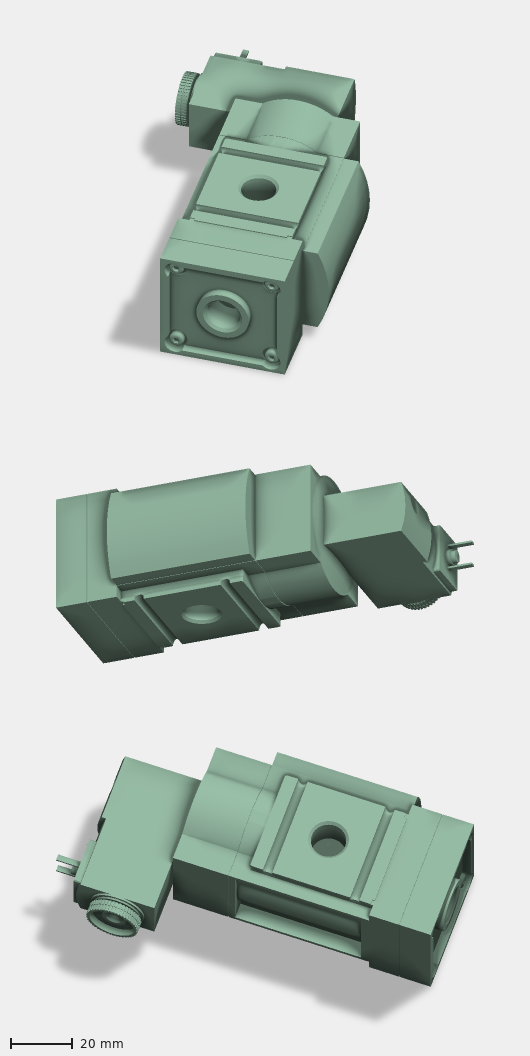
import cadquery as cq


body_half_width = 21.0
body_half_height = 19.7
flank_half_height = 15.7
body_crown_radius = 19.9
collar_crown_radius = 19.7

cap_seam_y = 10.7
block_end_y = 21.1
body_end_y = 69.3
collar_end_y = 88.5
coil_start_y = 89.3
seam_width = 0.3
seam_depth = 0.3
cut_clearance = 1.3

dome_radius = 19.2
dome_height = 1.6

cover_half_height = 15.6
cover_edge_x = 26.0
cover_crest_x = 29.8

window_start_y = 23.9
window_end_y = 67.2
window_half_height = 14.3
window_floor_x = -15.8
cartridge_radius = 19.2

pad_top_z = 20.1
pad_half_width = 17.2
pad_waist_half_width = 16.3
pad_foot_half_width = 16.7
pad_lip_z = 18.9
pad_waist_top_z = 17.7
pad_waist_bottom_z = 17.0
pad_end_y = 63.4
pad_rear_fillet = 0.8
pad_front_notch_length = 0.9
pad_front_notch_width = 1.6
pad_groove_radius = 1.6
pad_groove_axis_drop = 0.4
pad_grooves_y = (27.4, 57.3)

port_diameter = 11.5
port_mouth_diameter = 13.2
port_chamfer = (port_mouth_diameter - port_diameter) / 2
port_depth = 11.3
side_port_y = 42.5

recess_half_width = 18.4
recess_half_height = 17.6
recess_depth = 2.9
port_ring_diameter = 17.6
screw_x = 16.1
screw_z = 15.2
screw_pocket_diameter = 6.9
screw_pocket_depth = 3.8
screw_head_diameter = 5.0
screw_head_height = 2.3
screw_head_fillet = 1.0
screw_socket_diameter = 2.4
screw_socket_depth = 1.3
socket_sides = 6

coil_left_x = -37.0
coil_right_x = 11.2
coil_step_x = -12.0
coil_half_height = 8.9
coil_low_edge_y = 114.7
coil_low_crest_y = 116.2
coil_high_edge_y = 116.2
coil_high_crest_y = 117.7
indicator_diameter = 6.5
indicator_x = 1.9
indicator_z = 5.0
indicator_floor_y = 116.3

plate_left_x = -36.1
plate_right_x = -20.2
plate_half_height = 8.3
plate_end_y = 117.3
plate_corner = 0.4
plug_x = -28.2
blade_end_y = 125.8
blade_width = 2.0
blade_thickness = 0.67
blade_z = 4.0
stud_foot_diameter = 5.3
stud_foot_end_y = 118.7
stud_diameter = 4.2
stud_end_y = 120.4

knob_y = 101.9
knob_tip_x = -42.8
knob_back_x = -39.0
knob_diameter = 17.7
knob_neck_diameter = 10.7
flange_steps = ((18.4, 0.6), (16.3, 1.3))
knob_dish_diameter = 15.2
knob_dish_depth = 2.3
knob_boss_diameter = 8.0
knob_boss_height = 0.5
knob_hole_mouth_diameter = 5.3
knob_hole_diameter = 2.0
knob_hole_cone_depth = 2.0
knob_hole_depth = 3.3
knurl_count = 48
knurl_width = 0.5
knurl_depth = 0.4
knob_ring_groove_width = 0.4


def box(x, y, z):
    """Box between the (low, high) limits given on each axis."""
    return (
        cq.Workplane("XY")
        .box(x[1] - x[0], y[1] - y[0], z[1] - z[0], centered=False)
        .translate((x[0], y[0], z[0]))
    )


def cylinder(start, direction, diameter, length):
    """Round bar from a start point along a direction."""
    return cq.Workplane(
        cq.Solid.makeCylinder(diameter / 2, length, cq.Vector(*start), cq.Vector(*direction))
    )


def port(start, direction):
    """Port bore with a chamfered mouth."""
    bore = cylinder(start, direction, port_diameter, port_depth)
    mouth = cq.Solid.makeCone(
        port_mouth_diameter / 2, port_diameter / 2, port_chamfer, cq.Vector(*start), cq.Vector(*direction)
    )
    return bore.union(cq.Workplane(mouth))


def symmetric(half):
    return (-half, half)


full_width = symmetric(body_half_width)
full_height = symmetric(body_half_height)


def crowned_section(y_start, y_end, crown_radius, inset=0.0):
    """Flat flanks with a round crown above and below, all drawn in by the inset."""
    flanks = box(
        symmetric(body_half_width - inset), (y_start, y_end), symmetric(flank_half_height - inset)
    )
    crown = cylinder((0, y_start, 0), (0, 1, 0), 2 * (crown_radius - inset), y_end - y_start)
    return flanks.union(crown)


def cap_seam():
    """Shallow groove around the front block."""
    y = (cap_seam_y, cap_seam_y + seam_width)
    core = box(
        symmetric(body_half_width - seam_depth), y, symmetric(body_half_height - seam_depth)
    )
    return box(full_width, y, full_height).cut(core)


def dome():
    """Shallow spherical cap on the collar end."""
    sphere_radius = (dome_radius**2 + dome_height**2) / (2 * dome_height)
    return (
        cq.Workplane("XY")
        .moveTo(0, collar_end_y)
        .lineTo(dome_radius, collar_end_y)
        .radiusArc((0, collar_end_y + dome_height), -sphere_radius)
        .close()
        .revolve(360, (0, 0, 0), (0, 1, 0))
    )


def side_cover():
    """Bulged cover along the +X flank."""
    return (
        cq.Workplane("XZ", origin=(0, block_end_y, 0))
        .moveTo(0, -cover_half_height)
        .lineTo(cover_edge_x, -cover_half_height)
        .threePointArc((cover_crest_x, 0), (cover_edge_x, cover_half_height))
        .lineTo(0, cover_half_height)
        .close()
        .extrude(-(body_end_y - block_end_y))
    )


def window():
    """Opening in the -X flank, leaving the cartridge surface inside."""
    y = (window_start_y, window_end_y)
    opening = box((-body_half_width - cut_clearance, window_floor_x), y, symmetric(window_half_height))
    cartridge = cylinder(
        (0, window_start_y, 0), (0, 1, 0), 2 * cartridge_radius, window_end_y - window_start_y
    )
    return opening.cut(cartridge)


def top_pad():
    """Dovetail-sided pad with rounded rear and notched front corners."""
    right_side = [
        (pad_foot_half_width, flank_half_height),
        (pad_waist_half_width, pad_waist_bottom_z),
        (pad_waist_half_width, pad_waist_top_z),
        (pad_half_width, pad_lip_z),
        (pad_half_width, pad_top_z),
    ]
    left_side = [(-x, z) for x, z in reversed(right_side)]
    pad = (
        cq.Workplane("XZ", origin=(0, block_end_y, 0))
        .polyline(right_side + left_side)
        .close()
        .extrude(-(pad_end_y - block_end_y))
    )
    footprint = (
        box(symmetric(pad_half_width), (block_end_y, pad_end_y), (0, pad_top_z))
        .edges("|Z and >Y")
        .fillet(pad_rear_fillet)
    )
    pad = pad.intersect(footprint)
    for side in (-1, 1):
        notch = box(
            symmetric(pad_front_notch_width),
            (block_end_y, block_end_y + pad_front_notch_length),
            (body_half_height, pad_top_z),
        )
        pad = pad.cut(notch.translate((side * pad_half_width, 0, 0)))
    return pad


def pad_groove(y):
    """Round-bottomed groove across the width of the top pad."""
    start = (-pad_half_width, y, pad_top_z - pad_groove_axis_drop)
    return cylinder(start, (1, 0, 0), 2 * pad_groove_radius, 2 * pad_half_width)


def main_body():
    front_block = box(full_width, (0, block_end_y), full_height)
    middle = crowned_section(block_end_y, body_end_y, body_crown_radius)
    middle = middle.intersect(box(full_width, (block_end_y, body_end_y), full_height))
    collar_start_y = body_end_y + seam_width
    collar_seam = crowned_section(body_end_y, collar_start_y, collar_crown_radius, seam_depth)
    collar = crowned_section(collar_start_y, collar_end_y, collar_crown_radius)

    body = front_block.union(middle).union(collar_seam).union(collar)
    body = body.union(dome()).union(side_cover())
    body = body.cut(window()).cut(cap_seam())
    pad = top_pad()
    body = body.union(pad).union(pad.mirror("XY"))
    for y in pad_grooves_y:
        groove = pad_groove(y)
        body = body.cut(groove).cut(groove.mirror("XY"))
    for side in (-1, 1):
        body = body.cut(port((0, side_port_y, side * pad_top_z), (0, 0, -side)))
    return body


def screw():
    """Cap screw head with a hexagon socket, facing -Y from the pocket floor at the origin."""
    head = cylinder((0, 0, 0), (0, -1, 0), screw_head_diameter, screw_head_height)
    head = head.faces("<Y").edges().fillet(screw_head_fillet)
    socket = (
        cq.Workplane("XZ", origin=(0, -screw_head_height, 0))
        .polygon(socket_sides, screw_socket_diameter)
        .extrude(-screw_socket_depth)
    )
    return head.cut(socket)


def cut_port_face(body):
    """Sunken panel with the port ring in the middle and a screw in each corner."""
    recess = box(symmetric(recess_half_width), (0, recess_depth), symmetric(recess_half_height))
    ring = cylinder((0, 0, 0), (0, 1, 0), port_ring_diameter, recess_depth)
    body = body.cut(recess.cut(ring)).cut(port((0, 0, 0), (0, 1, 0)))
    for x in symmetric(screw_x):
        for z in symmetric(screw_z):
            body = body.cut(cylinder((x, 0, z), (0, 1, 0), screw_pocket_diameter, screw_pocket_depth))
            body = body.union(screw().translate((x, screw_pocket_depth, z)))
    return body


def coil_block(x_start, x_end, edge_y, crest_y):
    """Coil housing length whose +Y end is bowed across its height."""
    return (
        cq.Workplane("YZ", origin=(x_start, 0, 0))
        .moveTo(coil_start_y, -coil_half_height)
        .lineTo(edge_y, -coil_half_height)
        .threePointArc((crest_y, 0), (edge_y, coil_half_height))
        .lineTo(coil_start_y, coil_half_height)
        .close()
        .extrude(x_end - x_start)
    )


def coil():
    housing = coil_block(coil_left_x, coil_step_x, coil_low_edge_y, coil_low_crest_y)
    housing = housing.union(coil_block(coil_step_x, coil_right_x, coil_high_edge_y, coil_high_crest_y))
    indicator = cylinder(
        (indicator_x, indicator_floor_y, indicator_z),
        (0, 1, 0),
        indicator_diameter,
        coil_high_crest_y - indicator_floor_y,
    )
    return housing.cut(indicator)


def plug():
    """Connector plate with two contact blades and a stepped stud."""
    connector = (
        box((plate_left_x, plate_right_x), (coil_start_y, plate_end_y), symmetric(plate_half_height))
        .edges("|Y")
        .chamfer(plate_corner)
    )
    for z in symmetric(blade_z):
        blade = box(
            symmetric(blade_width / 2), (coil_start_y, blade_end_y), symmetric(blade_thickness / 2)
        )
        connector = connector.union(blade.translate((plug_x, 0, z)))
    for diameter, end_y in ((stud_foot_diameter, stud_foot_end_y), (stud_diameter, stud_end_y)):
        step = cylinder((plug_x, coil_start_y, 0), (0, 1, 0), diameter, end_y - coil_start_y)
        connector = connector.union(step)
    return connector


def knob():
    """Knurled, dished knob on a stepped flange trimmed to the coil height."""
    thickness = knob_back_x - knob_tip_x
    tip = (knob_tip_x, knob_y, 0)
    inward = (1, 0, 0)

    wheel = cylinder(tip, inward, knob_diameter, thickness)
    for index in range(knurl_count):
        flute = box(
            (knob_tip_x, knob_back_x),
            symmetric(knurl_width / 2),
            (knob_diameter / 2 - knurl_depth, knob_diameter / 2 + cut_clearance),
        )
        flute = flute.rotate((0, 0, 0), (1, 0, 0), index * 360 / knurl_count)
        wheel = wheel.cut(flute.translate((0, knob_y, 0)))
    groove_start = (knob_tip_x + (thickness - knob_ring_groove_width) / 2, knob_y, 0)
    groove = cylinder(groove_start, inward, knob_diameter + cut_clearance, knob_ring_groove_width)
    groove_core = cylinder(
        groove_start, inward, knob_diameter - 2 * knurl_depth, knob_ring_groove_width
    )
    wheel = wheel.cut(groove.cut(groove_core))
    neck = cylinder((knob_back_x, knob_y, 0), inward, knob_neck_diameter, coil_left_x - knob_back_x)
    turned = wheel.union(neck)

    dish = cylinder(tip, inward, knob_dish_diameter, knob_dish_depth)
    boss_tip = (knob_tip_x + knob_dish_depth - knob_boss_height, knob_y, 0)
    boss = cylinder(boss_tip, inward, knob_boss_diameter, knob_boss_height)
    turned = turned.cut(dish.cut(boss))
    turned = turned.cut(cylinder(boss_tip, inward, knob_hole_diameter, knob_hole_depth))
    mouth = cq.Solid.makeCone(
        knob_hole_mouth_diameter / 2,
        knob_hole_diameter / 2,
        knob_hole_cone_depth,
        cq.Vector(*boss_tip),
        cq.Vector(*inward),
    )
    turned = turned.cut(cq.Workplane(mouth))

    for diameter, reach in flange_steps:
        flange = cylinder((coil_left_x - reach, knob_y, 0), inward, diameter, reach)
        trim = box(
            (coil_left_x - reach, coil_left_x),
            (knob_y - diameter, knob_y + diameter),
            symmetric(coil_half_height),
        )
        turned = turned.union(flange.intersect(trim))
    return turned


valve = cut_port_face(main_body())
result = valve.union(coil()).union(plug()).union(knob())